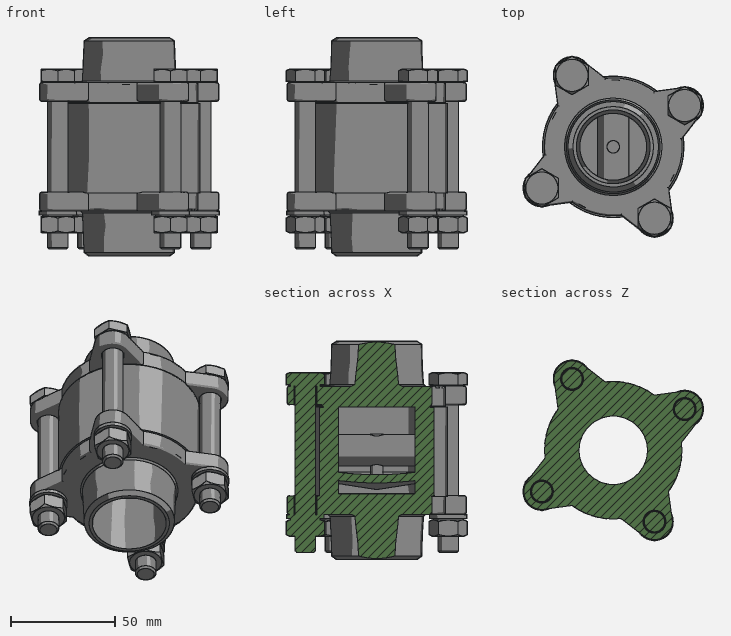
import cadquery as cq
import math

HEIGHT = 104.9
MID_Z = HEIGHT / 2

BOLT_SQUARE = 56.0
BOLT_CIRCLE_R = BOLT_SQUARE / math.sqrt(2)
BOLT_ANGLES = [30 + 90 * i for i in range(4)]
BOLT_D = 10.0
BOLT_LENGTH = 80.0
BOLT_TIP_CHAMFER = 0.9

HEX_FLATS = 16.0
HEX_CHAMFER_D = 15.4
HEX_CHAMFER_SLOPE = math.radians(30)
HEX_FACE_D = 14.6
HEX_FACE_H = 0.5
HEAD_H = 6.5
NUT_H = 8.5
WASHER_D = 18.0
WASHER_H = 2.0

FLANGE_D = 66.2
FLANGE_T = 9.0
FLANGE_TOP = 83.3
FLANGE_ROUND = 1.0
LUG_R = 8.7
LUG_HALF_ANGLE = 23.5
LUG_HOLE_D = 10.8

BODY_D = 68.0
BODY_BOTTOM = 30.3
BODY_TOP = 73.2
COLLAR_CHAMFER = 0.5

PIPE_BASE_D = 45.0
PIPE_END_D = 43.4
PIPE_CHAMFER_H = 1.6
PIPE_CHAMFER_W = 2.4
PIPE_FOOT_D = 46.8
PIPE_FOOT_H = 0.8
BORE_END_D = 35.5
BORE_INNER_D = 32.1

CHAMBER_D = 54.0
DISC_RIM_Z = 42.0
DISC_DROP = 4.2
DISC_T = 4.2
BAR_D = 15.0
STEM_D = 6.0
STEM_PROUD = 0.3

FLANGE_BOTTOM = HEIGHT - FLANGE_TOP


def polar(radius, degrees):
    angle = math.radians(degrees)
    return (radius * math.cos(angle), radius * math.sin(angle))


def cylinder(diameter, bottom, height):
    return cq.Workplane("XY").workplane(offset=bottom).circle(diameter / 2).extrude(height)


def revolved(points):
    """Turn a closed (radius, height) outline about the Z axis."""
    return cq.Workplane("XZ").polyline(points).close().revolve(360, (0, 0, 0), (0, 1, 0))


def mirrored_down(solid):
    return solid.mirror("XY", (0, 0, MID_Z))


def lug_tangent_angle():
    """Angle, from the lug's outward direction, of the point where its straight side meets its round end."""
    root_x, root_y = polar(FLANGE_D / 2, LUG_HALF_ANGLE)
    dx = root_x - BOLT_CIRCLE_R
    to_root = math.degrees(math.atan2(root_y, dx))
    return to_root - math.degrees(math.acos(LUG_R / math.hypot(dx, root_y)))


def flange_plate(bottom):
    """Round plate with four lugs, rounded along its top and bottom edges."""
    plate = cylinder(FLANGE_D, bottom, FLANGE_T)
    turn = lug_tangent_angle()
    side_x, side_y = polar(LUG_R, turn)
    root_x, root_y = polar(FLANGE_D / 2, LUG_HALF_ANGLE)
    lug = (
        cq.Workplane("XY")
        .workplane(offset=bottom)
        .lineTo(root_x, -root_y)
        .lineTo(BOLT_CIRCLE_R + side_x, -side_y)
        .threePointArc((BOLT_CIRCLE_R + LUG_R, 0), (BOLT_CIRCLE_R + side_x, side_y))
        .lineTo(root_x, root_y)
        .close()
        .extrude(FLANGE_T)
    )
    for angle in BOLT_ANGLES:
        plate = plate.union(lug.rotate((0, 0, 0), (0, 0, 1), angle))
    return plate.faces("<Z or >Z").edges().fillet(FLANGE_ROUND)


def pipe_end():
    """Solid upper pipe end with its foot on the flange and its chamfered mouth."""
    base_r = PIPE_BASE_D / 2
    end_r = PIPE_END_D / 2
    return revolved([
        (0, MID_Z),
        (PIPE_FOOT_D / 2, MID_Z),
        (PIPE_FOOT_D / 2, FLANGE_TOP),
        (base_r, FLANGE_TOP + PIPE_FOOT_H),
        (end_r, HEIGHT - PIPE_CHAMFER_H),
        (end_r - PIPE_CHAMFER_W, HEIGHT),
        (0, HEIGHT),
    ])


def bore():
    """Tapered passage from the pipe mouth to the chamber."""
    return revolved([
        (0, BODY_TOP),
        (BORE_INNER_D / 2, BODY_TOP),
        (BORE_END_D / 2, HEIGHT),
        (0, HEIGHT),
    ])


def hex_prism(bottom, height, chamfer_bottom):
    """Hexagon with corners along Y and its top, or both ends, turned off conically."""
    corner_d = HEX_FLATS / math.cos(math.pi / 6)
    prism = (
        cq.Workplane("XY")
        .workplane(offset=bottom)
        .polygon(6, corner_d)
        .extrude(height)
        .rotate((0, 0, 0), (0, 0, 1), 90)
    )
    corner_r = corner_d / 2
    ring_r = HEX_CHAMFER_D / 2
    drop = (corner_r - ring_r) * math.tan(HEX_CHAMFER_SLOPE)
    top = bottom + height
    outline = [(0, top), (ring_r, top), (corner_r, top - drop)]
    if chamfer_bottom:
        outline += [(corner_r, bottom + drop), (ring_r, bottom), (0, bottom)]
    else:
        outline += [(corner_r, bottom), (0, bottom)]
    return prism.intersect(revolved(outline))


def bolt_set():
    """One bolt with head, washer and nut, standing on the Z axis."""
    shank = cylinder(BOLT_D, FLANGE_TOP - BOLT_LENGTH, BOLT_LENGTH)
    shank = shank.faces("<Z").chamfer(BOLT_TIP_CHAMFER)
    head = hex_prism(FLANGE_TOP + HEX_FACE_H, HEAD_H - HEX_FACE_H, False)
    head_face = cylinder(HEX_FACE_D, FLANGE_TOP, HEX_FACE_H)
    washer_bottom = FLANGE_BOTTOM - WASHER_H
    washer = cylinder(WASHER_D, washer_bottom, WASHER_H)
    nut_face = cylinder(HEX_FACE_D, washer_bottom - HEX_FACE_H, HEX_FACE_H)
    nut = hex_prism(washer_bottom - NUT_H, NUT_H - HEX_FACE_H, True)
    return shank.union(head).union(head_face).union(washer).union(nut_face).union(nut)


def dished_disc():
    """Shallow conical disc that closes the chamber."""
    rim_r = CHAMBER_D / 2
    centre_z = DISC_RIM_Z - DISC_DROP
    return revolved([
        (0, centre_z - DISC_T),
        (rim_r, DISC_RIM_Z - DISC_T),
        (rim_r, DISC_RIM_Z),
        (0, centre_z),
    ])


def guide_bar():
    """Round bar across the chamber along Y, at mid height."""
    bar = cq.Workplane("XZ").center(0, MID_Z).circle(BAR_D / 2).extrude(CHAMBER_D)
    return bar.translate((0, CHAMBER_D / 2, 0))


drum = cylinder(BODY_D, BODY_BOTTOM, BODY_TOP - BODY_BOTTOM)
upper_collar = cylinder(FLANGE_D, BODY_TOP, FLANGE_T / 2).faces("<Z").chamfer(COLLAR_CHAMFER)
lower_collar_bottom = FLANGE_BOTTOM + FLANGE_T / 2
lower_collar = cylinder(FLANGE_D, lower_collar_bottom, BODY_BOTTOM - lower_collar_bottom)
shell = drum.union(upper_collar).union(lower_collar)
for upper_part in (flange_plate(FLANGE_TOP - FLANGE_T), pipe_end()):
    shell = shell.union(upper_part).union(mirrored_down(upper_part))

bolt_places = [polar(BOLT_CIRCLE_R, angle) for angle in BOLT_ANGLES]
for x, y in bolt_places:
    shell = shell.cut(cylinder(LUG_HOLE_D, 0, HEIGHT).translate((x, y, 0)))
chamber = cylinder(CHAMBER_D, HEIGHT - BODY_TOP, 2 * BODY_TOP - HEIGHT)
shell = shell.cut(chamber).cut(bore()).cut(mirrored_down(bore()))

stem_bottom = DISC_RIM_Z - DISC_DROP - DISC_T / 2
stem = cylinder(STEM_D, stem_bottom, MID_Z + BAR_D / 2 + STEM_PROUD - stem_bottom)
result = shell.union(dished_disc()).union(guide_bar()).union(stem)

bolt = bolt_set()
for x, y in bolt_places:
    result = result.union(bolt.translate((x, y, 0)))